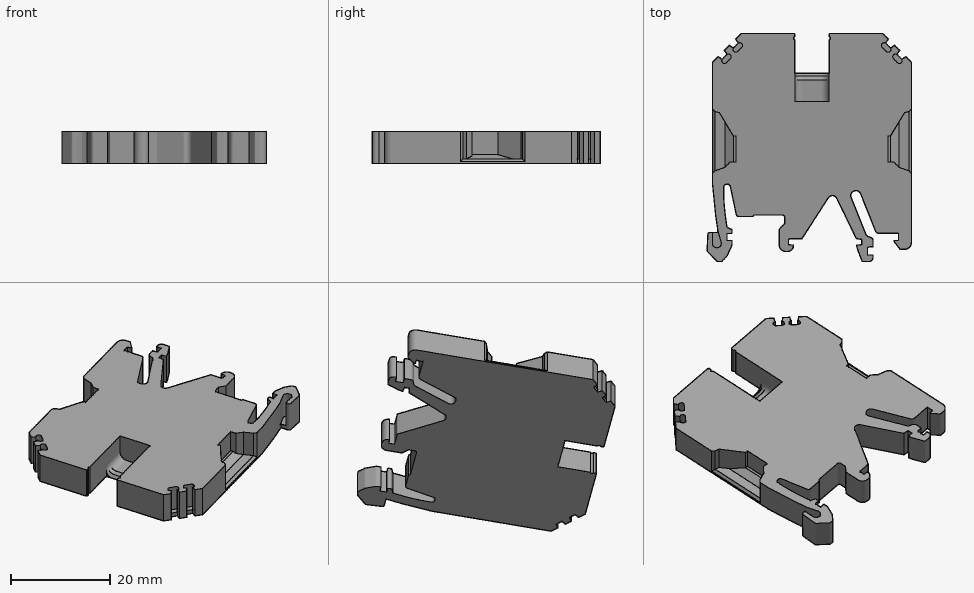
import cadquery as cq
import math

height = 46.0
thickness = 6.5
half_width = 20.05
web = 0.95

corner_chamfer = 5.8
marker_offset = 1.6
marker_mouth_width = 1.7
marker_neck_width = 1.35
marker_bend_depth = 0.45
marker_bend_width = 1.6
marker_neck_depth = 0.95
marker_key_length = 2.25
marker_key_width = 1.1

channel_half_width = 3.45
channel_bottom = 32.3
channel_edge_break = 0.15
dimple_level = 45.05
dimple_half_height = 0.3
dimple_depth = 0.25

trough_radius = 1.5
trough_length = 4.3
lip_steps = [(0.85, -0.345), (0.6, -0.62)]

pocket_low = 18.3
pocket_high = 30.25
rim_chamfer = 0.5
pocket_lip_depth = 1.4
pocket_ramp_start = 2.5
pocket_ramp_end = 4.25
pocket_depth = 4.8
pocket_low_shoulder = 19.0
pocket_high_shoulder = 30.05
pocket_back_corner = 3.6
pocket_back_low = 20.1
pocket_back_high = 25.35
pocket_back_floor = 1.85

hook_top = 5.95
hook_left = -21.15
leg_hook = [
    (-half_width, 15.6, 0),
    (-19.4, 9.25, 0),
    (-19.0, 6.4, 0),
    (-19.0, hook_top, 0),
    (-20.98, hook_top, 0.45),
    (hook_left, 2.15, 0.45),
    (-19.1, 0, 0.35),
    (-18.2, 0, 0.25),
    (-17.05, 1.2, 0.45),
    (-16.1, 3.3, 0.9),
    (-16.1, 4.3, 0),
    (-17.1, 4.3, 0),
    (-17.1, 5.65, 0),
    (-16.1, 5.65, 0.25),
    (-16.1, 6.5, 0.15),
    (-17.1, 6.95, 0),
    (-17.5, 9.6, 46),
    (-17.75, 12.4, 27.6),
]
leg_slot = [
    (-17.75, 15.6, 0.55),
    (-16.55, 15.6, 0.55),
    (-15.2, 9.05, 0.65),
]
rail_seat = [
    (-11.95, 9.05, 0),
    (-11.7, 9.4, 0),
    (-5.5, 9.4, 0.45),
    (-5.5, 7.7, 0),
    (-6.62, 6.55, 0),
]
middle_foot = [
    (-6.62, 2.02, 1.4),
    (-3.85, 2.02, 1.3),
    (-3.7, 3.35, 0),
    (-4.7, 3.45, 0),
    (-4.7, 4.6, 0.2),
    (-2.02, 4.6, 0.2),
]
vee_notch = [
    (4.25, 14.3, 0.95),
    (8.92, 4.65, 0),
]
spring_leg = [
    (10.05, 4.45, 0),
    (10.05, 3.45, 0),
    (8.92, 3.35, 0),
    (9.25, 2.25, 0),
    (10.1, 0, 0.25),
    (12.35, 0, 0.87),
    (12.35, 1.4, 0),
    (11.22, 1.4, 0),
    (11.22, 2.95, 0.15),
    (12.35, 3.0, 0),
    (12.35, 4.7, 0.75),
    (11.0, 5.25, 0.55),
]
spring_slot = [
    (7.55, 13.85, 0.9),
    (9.45, 14.6, 0.9),
    (12.95, 5.7, 0.75),
]
right_foot = [
    (17.4, 5.7, 0),
    (17.4, 4.32, 0),
    (16.38, 4.3, 0.15),
    (17.75, 2.5, 0.25),
    (half_width, 2.5, 1.4),
]
upper_edge = [
    (half_width, height - corner_chamfer, 0),
    (half_width - corner_chamfer, height, 0),
    (corner_chamfer - half_width, height, 0),
    (-half_width, height - corner_chamfer, 0),
]

hook_slot = [
    (-20.05, hook_top, 0),
    (-20.05, 2.8, 0.87),
    (-18.0, 2.8, 0.87),
    (-19.0, hook_top + 0.45, 0),
    (-19.0, hook_top, 0),
]


def rounded_outline(corners):
    """Closed outline through the corners, each rounded by a tangent arc of its own radius."""
    outline = None
    for index, (x, y, radius) in enumerate(corners):
        corner = cq.Vector(x, y)
        before = cq.Vector(*corners[index - 1][:2]) - corner
        after = cq.Vector(*corners[(index + 1) % len(corners)][:2]) - corner
        half_angle = before.getAngle(after) / 2
        setback = radius / math.tan(half_angle)
        arc_start = corner + before.normalized() * setback
        if outline is None:
            outline = cq.Workplane("XY").moveTo(arc_start.x, arc_start.y)
        else:
            outline = outline.lineTo(arc_start.x, arc_start.y)
        if radius > 0:
            inward = (before.normalized() + after.normalized()).normalized()
            arc_middle = corner + inward * (radius / math.sin(half_angle) - radius)
            arc_end = corner + after.normalized() * setback
            outline = outline.threePointArc((arc_middle.x, arc_middle.y), (arc_end.x, arc_end.y))
    return outline.close()


def both_sides(solid):
    """The solid together with its mirror image across the middle plane."""
    return solid.union(solid.mirror("YZ"))


def make_body():
    """Plate with the rail feet along its lower edge and the blind slot in its left hook."""
    lower_edge = leg_hook + leg_slot + rail_seat + middle_foot
    lower_edge += vee_notch + spring_leg + spring_slot + right_foot
    body = rounded_outline(lower_edge + upper_edge).extrude(thickness)
    hook_recess = rounded_outline(hook_slot).extrude(thickness).translate((0, 0, web))
    return body.cut(hook_recess)


def make_channel():
    """Through channel with broken upper edges and a shallow dimple in each wall."""
    edge_x = channel_half_width
    right_half = (
        cq.Workplane("XY")
        .moveTo(0, channel_bottom)
        .lineTo(edge_x, channel_bottom)
        .lineTo(edge_x, dimple_level - dimple_half_height)
        .threePointArc((edge_x + dimple_depth, dimple_level), (edge_x, dimple_level + dimple_half_height))
        .lineTo(edge_x, height - channel_edge_break)
        .lineTo(edge_x + channel_edge_break, height)
        .lineTo(0, height)
        .close()
        .extrude(thickness)
    )
    return both_sides(right_half)


def make_trough():
    """Floor with rounded sides, carried along the channel and then down over the lip."""
    flat = channel_half_width - trough_radius
    rise = web + trough_radius
    bend = trough_radius * math.sqrt(0.5)
    section = (
        cq.Workplane("XZ", origin=(0, channel_bottom, 0))
        .moveTo(-channel_half_width, 0)
        .lineTo(channel_half_width, 0)
        .lineTo(channel_half_width, rise)
        .threePointArc((flat + bend, rise - bend), (flat, web))
        .lineTo(-flat, web)
        .threePointArc((-flat - bend, rise - bend), (-channel_half_width, rise))
        .close()
    )
    face = cq.Face.makeFromWires(section.wire().val())
    trough = cq.Workplane("XY")
    for run, drop in [(trough_length, 0)] + lip_steps:
        step = cq.Vector(0, run, drop)
        trough = trough.union(cq.Workplane(cq.Solid.extrudeLinear(face, step)))
        face = face.translate(step)
    below = cq.Workplane("XY").box(height, 2 * height, thickness, centered=(True, True, False))
    return trough.cut(below.translate((0, 0, -thickness)))


def make_marker_slots():
    """Two slots in the upper left chamfer: an open neck and a blind key recess behind it."""
    mouth = marker_mouth_width / 2
    bend = marker_bend_width / 2
    neck = marker_neck_width / 2
    key_level = -marker_neck_depth - marker_key_width / 2
    slots = cq.Workplane("XY")
    for offset in (-marker_offset, marker_offset):
        opening = (
            cq.Workplane("XY")
            .moveTo(-mouth, 0)
            .lineTo(mouth, 0)
            .threePointArc((bend, -marker_bend_depth), (neck, -marker_neck_depth))
            .lineTo(-neck, -marker_neck_depth)
            .threePointArc((-bend, -marker_bend_depth), (-mouth, 0))
            .close()
            .extrude(thickness)
        )
        key = (
            cq.Workplane("XY", origin=(0, key_level, web))
            .slot2D(marker_key_length, marker_key_width)
            .extrude(thickness)
        )
        slots = slots.union(opening.union(key).translate((offset, 0, 0)))
    chamfer_middle = (corner_chamfer / 2 - half_width, height - corner_chamfer / 2, 0)
    return slots.rotate((0, 0, 0), (0, 0, 1), 45).translate(chamfer_middle)


def make_side_pocket():
    """Pocket in the left side, open at the top, with a ramped floor and a flared rim."""
    back = pocket_depth - half_width
    ramp_start = pocket_ramp_start - half_width
    ramp_end = pocket_ramp_end - half_width
    rim = rim_chamfer - half_width
    bay = (
        cq.Workplane("XY", origin=(0, 0, web))
        .moveTo(rim, pocket_low)
        .lineTo(ramp_start, pocket_low_shoulder)
        .lineTo(pocket_back_corner - half_width, pocket_back_low)
        .lineTo(back, pocket_back_low)
        .lineTo(back, pocket_back_high)
        .lineTo(ramp_end, pocket_back_high)
        .lineTo(pocket_lip_depth - half_width, pocket_high_shoulder)
        .lineTo(rim, pocket_high)
        .close()
        .extrude(thickness)
    )
    ramp = (
        cq.Workplane("XZ")
        .moveTo(ramp_start, web)
        .lineTo(ramp_end, pocket_back_floor)
        .lineTo(back, pocket_back_floor)
        .lineTo(back, web)
        .close()
        .extrude(-height)
    )
    span = pocket_high - pocket_low
    middle = (pocket_low + pocket_high) / 2
    depth = thickness - web
    flare = (
        cq.Workplane("YZ", origin=(-half_width, 0, 0))
        .center(middle, (thickness + web - rim_chamfer) / 2)
        .rect(span + 2 * rim_chamfer, depth + rim_chamfer)
        .workplane(offset=rim_chamfer)
        .center(0, rim_chamfer / 2)
        .rect(span, depth)
        .loft(combine=True)
    )
    return bay.cut(ramp).union(flare)


result = (
    make_body()
    .cut(make_channel())
    .union(make_trough())
    .cut(both_sides(make_marker_slots()))
    .cut(both_sides(make_side_pocket()))
)